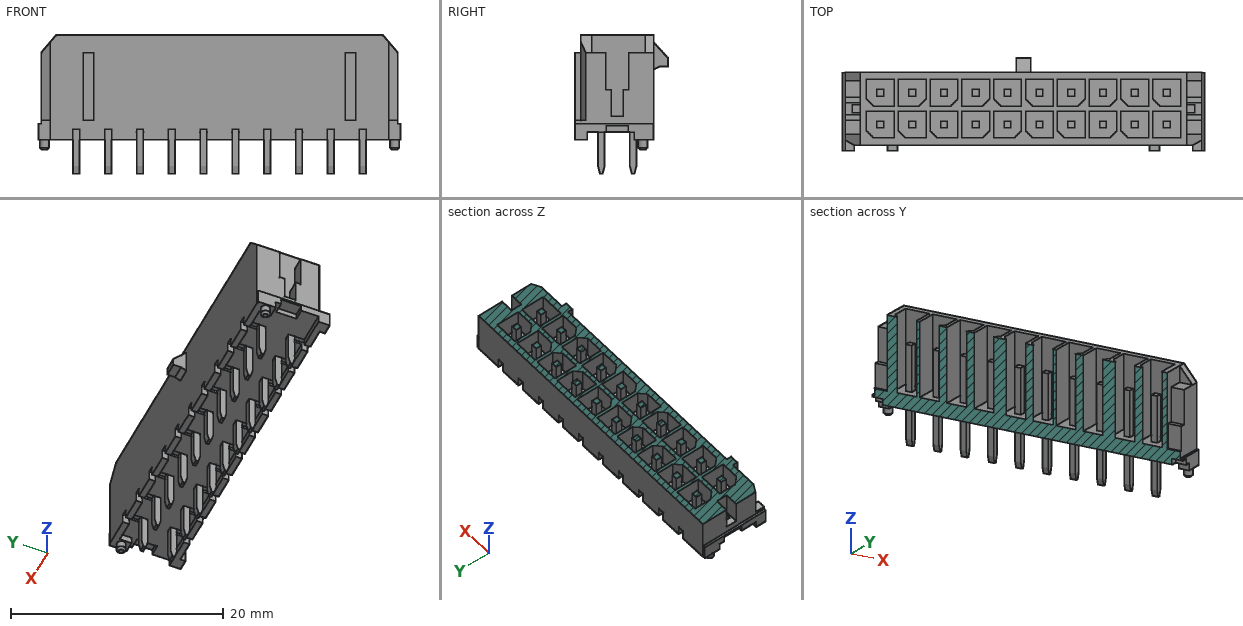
import cadquery as cq


columns = 10
pitch = 3.0
row_y = {"rear": pitch / 2, "front": -pitch / 2}
column_x = [(i - (columns - 1) / 2) * pitch for i in range(columns)]

total_length = 34.15
total_depth = 8.77
total_height = 13.09

body_top = 9.9
body_length = 33.66
body_depth = 6.9
half_length = body_length / 2
half_depth = body_depth / 2
underside_z = 0.74
skirt_thickness = 0.63
shoulder_z = 8.23
top_chamfer_run = 1.42
inner_end_x = half_length - top_chamfer_run
edge_chamfer_x = 0.89
edge_chamfer_y = 0.49

front_reach = 0.53
front_y = -half_depth - front_reach
plate_height = 1.55
plate_rear_inset = 0.05
foot_length = 0.89
foot_height = 1.85
foot_inner_x = half_length - foot_length
rear_pad_depth = 1.85
peg_radius = 0.45
peg_length = 0.94
peg_chamfer = 0.22
peg_x = 16.51
peg_y = 2.42

end_recess_front_y = -2.42
end_recess_rear_y = 2.64
wide_slot_width = 2.18
wide_slot_floor = 4.73
narrow_slot_width = 1.14
narrow_slot_floor = 2.26
well_outer_x = 16.14
well_width = 0.74
well_depth = 0.5
lower_recess_width = 2.1
lower_recess_top = 1.34

rib_x = 12.36
rib_width = 0.97
latch_width = 1.4
latch_tip_y = total_depth + front_y
latch_root_top = 9.2
latch_tip_top = 7.74
latch_tip_bottom = 6.91
latch_root_bottom = 6.65
latch_ramp_run = 0.55
latch_flat_y = half_depth + latch_ramp_run

cavity_length = 2.62
cavity_depth = 2.52
cavity_floor = 2.3
cavity_chamfer = 0.68
cavity_keys = {"rear": "LRRRLLRRLL", "front": "LLLRRLLRL-"}

pin_width = 0.64
pin_top = 7.0
pin_bottom = body_top - total_height
pin_tip_width = 0.26
pin_tip_length = 0.72
notch_top = 1.03


def box(x0, x1, y0, y1, z0, z1):
    return cq.Workplane("XY").box(x1 - x0, y1 - y0, z1 - z0, centered=False).translate((x0, y0, z0))


def centred_yz_prism(points, x_centre, width):
    """Extrude a closed (y, z) outline symmetrically about x_centre."""
    return cq.Workplane("YZ").polyline(points).close().extrude(width / 2, both=True).translate((x_centre, 0, 0))


def on_both_ends(left_shape):
    return left_shape.union(left_shape.mirror("YZ"))


def make_housing():
    plan = [
        (-half_length, half_depth),
        (-half_length, -half_depth + edge_chamfer_y),
        (-half_length + edge_chamfer_x, -half_depth),
        (half_length - edge_chamfer_x, -half_depth),
        (half_length, -half_depth + edge_chamfer_y),
        (half_length, half_depth),
    ]
    elevation = [
        (-half_length, 0),
        (-half_length, shoulder_z),
        (-inner_end_x, body_top),
        (inner_end_x, body_top),
        (half_length, shoulder_z),
        (half_length, 0),
    ]
    block = cq.Workplane("XY").polyline(plan).close().extrude(body_top)
    side = cq.Workplane("XZ").polyline(elevation).close().extrude(body_depth, both=True)
    return block.intersect(side)


def make_end_features():
    plate = box(-total_length / 2, -half_length, front_y, half_depth - plate_rear_inset, 0, plate_height)
    foot = box(-half_length, -foot_inner_x, front_y, -half_depth + edge_chamfer_y, 0, foot_height)
    return on_both_ends(plate.union(foot))


def make_pegs():
    peg = cq.Workplane("XY").circle(peg_radius).extrude(-peg_length).faces("<Z").chamfer(peg_chamfer)
    return on_both_ends(peg.translate((-peg_x, peg_y, 0)))


def make_underside_cut():
    skirt_y = half_depth - skirt_thickness
    middle = box(-foot_inner_x, foot_inner_x, -skirt_y, skirt_y, 0, underside_z)
    ends = box(-total_length / 2, total_length / 2, -skirt_y, half_depth - rear_pad_depth, 0, underside_z)
    return middle.union(ends)


def make_end_cuts():
    upper = box(-half_length, -inner_end_x, end_recess_front_y, end_recess_rear_y, shoulder_z, body_top)
    slot_steps = [
        (wide_slot_width, wide_slot_floor, -half_length),
        (narrow_slot_width, narrow_slot_floor, -half_length),
        (well_width, narrow_slot_floor - well_depth, -well_outer_x),
    ]
    cut = upper
    for width, floor, outer_x in slot_steps:
        cut = cut.union(box(outer_x, -inner_end_x, -width / 2, width / 2, floor, shoulder_z))
    half_recess = lower_recess_width / 2
    lower = box(-total_length / 2, -foot_inner_x, -half_recess, half_recess, 0, lower_recess_top)
    return on_both_ends(cut.union(lower))


def make_ribs():
    rib = box(-rib_width / 2, rib_width / 2, front_y, -half_depth, foot_height, shoulder_z)
    return on_both_ends(rib.translate((-rib_x, 0, 0)))


def make_latch():
    profile = [
        (half_depth, latch_root_bottom),
        (latch_flat_y, latch_tip_bottom),
        (latch_tip_y, latch_tip_bottom),
        (latch_tip_y, latch_tip_top),
        (half_depth, latch_root_top),
    ]
    return centred_yz_prism(profile, 0, latch_width)


def make_cavity(x, y, key):
    height = body_top - cavity_floor
    cavity = cq.Workplane("XY").rect(cavity_length, cavity_depth).extrude(height)
    keyed_edges = {"L": "|Z and <X and <Y", "R": "|Z and >X and <Y"}
    if key in keyed_edges:
        cavity = cavity.edges(keyed_edges[key]).chamfer(cavity_chamfer)
    return cavity.translate((x, y, cavity_floor))


def make_pin(x, y):
    half_width = pin_width / 2
    half_tip = pin_tip_width / 2
    taper_z = pin_bottom + pin_tip_length
    profile = [
        (y - half_width, pin_top),
        (y - half_width, taper_z),
        (y - half_tip, pin_bottom),
        (y + half_tip, pin_bottom),
        (y + half_width, taper_z),
        (y + half_width, pin_top),
    ]
    return centred_yz_prism(profile, x, pin_width)


def make_notch(x):
    """Slot through the front and rear skirts that reaches in to the outer faces of one column of pins."""
    half_width = pin_width / 2
    pin_face_y = row_y["front"] - half_width
    front = box(x - half_width, x + half_width, -half_depth, pin_face_y, 0, notch_top)
    return front.union(front.mirror("XZ"))


result = make_housing().union(make_end_features())
result = result.cut(make_underside_cut()).cut(make_end_cuts())
for x in column_x:
    result = result.cut(make_notch(x))
for row, keys in cavity_keys.items():
    for x, key in zip(column_x, keys):
        result = result.cut(make_cavity(x, row_y[row], key))
        result = result.union(make_pin(x, row_y[row]))
result = result.union(make_ribs()).union(make_latch()).union(make_pegs())